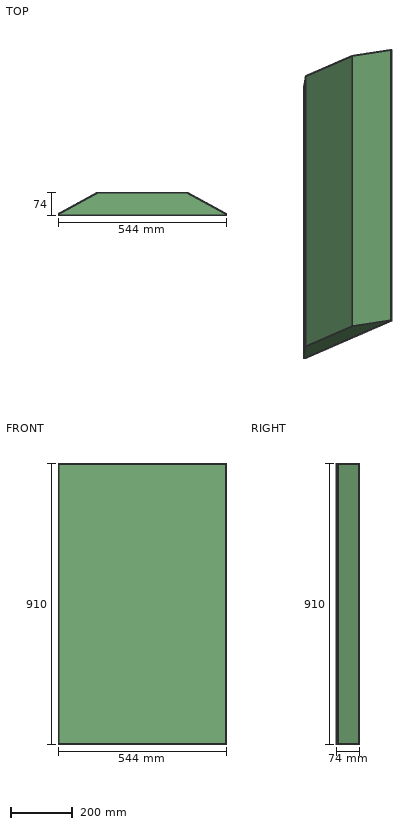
import cadquery as cq

width = 544.0
depth = 74.0
height = 910.0

back_width = 293.0
edge_thickness = 5.0

profile = [
    (-width / 2, 0),
    (width / 2, 0),
    (width / 2, edge_thickness),
    (back_width / 2, depth),
    (-back_width / 2, depth),
    (-width / 2, edge_thickness),
]

result = cq.Workplane("XY").polyline(profile).close().extrude(height)